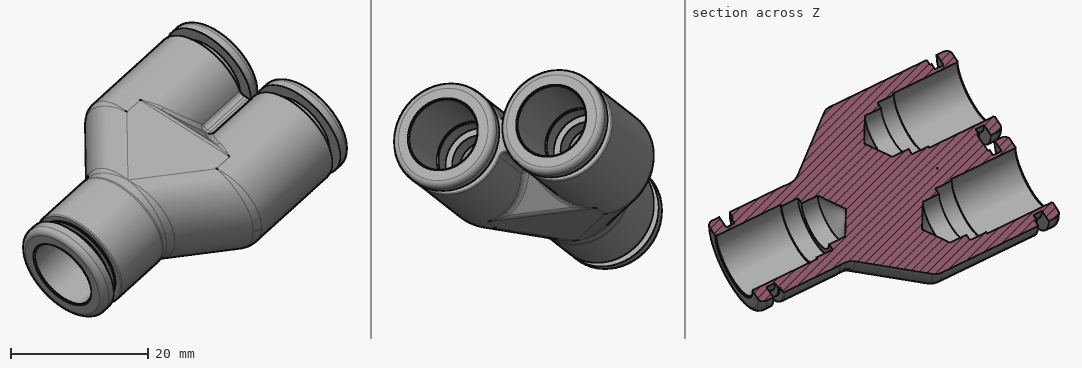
import cadquery as cq
import math

half_length = 22.8
branch_spacing = 17.0
branch_offset = branch_spacing / 2

body_radius = 15.9 / 2
body_end = 19.0
bend_y = 2.0
fork_y = -7.95
bend_fillet = 2.0
rim_fillet = 0.2

stem_radius = 16.0 / 2
shoulder_start = -9.45
shoulder_end = -9.7

web_half_thickness = 2.5
slope_top_y = 5.45
slope_foot_y = 10.05
web_fillet = 1.0

collar_radius = 16.0 / 2
collar_length = 2.15
collar_fillet = 0.95
neck_radius = 5.97
ring_radius = 6.98
ring_height = 0.27

mouth_chamfer = 0.2
mouth_radius = 5.35
mouth_depth = 10.95
socket_radius = 5.05
socket_depth = 13.7
passage_radius = 4.0
passage_depth = 16.4
drill_tip_angle = 118.0

tolerance = 0.005


def bar(x, y_start, y_end, radius):
    """Round bar along Y from y_start to y_end."""
    length = y_end - y_start
    return cq.Workplane("XZ", origin=(x, y_start, 0)).circle(radius).extrude(-length)


def slanted_arm():
    """Half-round arm leading from the stem axis to the +X branch axis."""
    outer_half = (
        cq.Workplane("XZ", origin=(0, fork_y, 0))
        .moveTo(0, -body_radius)
        .threePointArc((body_radius, 0), (0, body_radius))
        .close()
    )
    slant = cq.Vector(branch_offset, bend_y - fork_y, 0)
    return cq.Workplane(cq.Solid.extrudeLinear(outer_half.val(), [], slant))


def build_crotch():
    """Flat triangular plate that joins the two slanted arms."""
    return (
        cq.Workplane("XY", origin=(0, 0, -body_radius))
        .polyline([(0, fork_y), (branch_offset, bend_y), (-branch_offset, bend_y)])
        .close()
        .extrude(2 * body_radius)
    )


def build_web():
    """Plate between the branches: full height at the crotch, sloping down to a thin web."""
    upper = [
        (bend_y, body_radius),
        (slope_top_y, body_radius),
        (slope_foot_y, web_half_thickness),
        (body_end, web_half_thickness),
    ]
    lower = [(y, -z) for y, z in reversed(upper)]
    block = (
        cq.Workplane("YZ", origin=(-branch_offset, 0, 0))
        .polyline(upper + lower)
        .close()
        .extrude(2 * branch_offset)
    )
    slope_edges = [
        edge
        for edge in block.edges("|X").vals()
        if bend_y + tolerance < edge.Center().y < body_end - tolerance
    ]
    return block.newObject(slope_edges).fillet(web_fillet)


def lies_at_y(edge, y):
    box = edge.BoundingBox()
    return abs(box.ymin - y) < tolerance and abs(box.ymax - y) < tolerance


def build_half_body():
    """The +X half of the Y: half the stem, a slanted arm and a branch, with rounded bends."""
    half_space = (
        cq.Workplane("XY")
        .box(2 * half_length, 2 * half_length, 2 * half_length)
        .translate((half_length, 0, 0))
    )
    half_stem = bar(0, -body_end, fork_y, body_radius).intersect(half_space)
    branch = bar(branch_offset, bend_y, body_end, body_radius)
    half_body = half_stem.union(slanted_arm()).union(branch)
    for y in (bend_y, fork_y):
        arcs = [edge for edge in half_body.edges("%CIRCLE").vals() if lies_at_y(edge, y)]
        outer_arc = max(arcs, key=lambda arc: arc.Center().x)
        half_body = half_body.newObject([outer_arc]).fillet(bend_fillet)
    return half_body


def is_web_corner(edge):
    """True for the edges where the web and its slope run into a branch."""
    center = edge.Center()
    beside_web = abs(center.x) > tolerance and edge.BoundingBox().xlen < branch_offset
    along_web = center.y > bend_y + bend_fillet and not lies_at_y(edge, center.y)
    return beside_web and along_web and abs(center.x) < branch_offset - tolerance


def build_body():
    half_body = build_half_body()
    body = half_body.union(half_body.mirror("YZ")).union(build_crotch()).union(build_web()).clean()
    web_corners = [edge for edge in body.edges().vals() if is_web_corner(edge)]
    body = body.newObject(web_corners).fillet(web_fillet)
    return body.faces("<Y or >Y").edges().fillet(rim_fillet)


def build_stem_sleeve():
    """Thicker sleeve around the stem, tapering into the body."""
    return (
        cq.Workplane("XY")
        .polyline([
            (0, -body_end),
            (stem_radius, -body_end),
            (stem_radius, shoulder_end),
            (body_radius, shoulder_start),
            (0, shoulder_start),
        ])
        .close()
        .revolve(360, (0, 0, 0), (0, 1, 0))
        .faces("<Y")
        .edges()
        .fillet(rim_fillet)
    )


def place_at_port(shape, x, direction):
    """Move a shape modelled on a +Y port to the port at x facing the given Y direction."""
    if direction < 0:
        shape = shape.rotate((0, 0, 0), (0, 0, 1), 180)
    return shape.translate((x, 0, 0))


def build_collar():
    """Retaining ring and flanged release collar of one port."""
    ring = bar(0, body_end - ring_height, body_end + ring_height, ring_radius)
    neck = bar(0, body_end - ring_height, half_length, neck_radius)
    flange = bar(0, half_length - collar_length, half_length, collar_radius)
    flange = flange.faces(">Y").edges().fillet(collar_fillet)
    return ring.union(neck).union(flange)


def build_bore():
    """Mouth chamfer, collar bore, tube socket and drilled passage with a conical tip."""
    tip_length = passage_radius / math.tan(math.radians(drill_tip_angle / 2))
    steps = [
        (0, half_length),
        (mouth_radius + mouth_chamfer, half_length),
        (mouth_radius, half_length - mouth_chamfer),
        (mouth_radius, half_length - mouth_depth),
        (socket_radius, half_length - mouth_depth),
        (socket_radius, half_length - socket_depth),
        (passage_radius, half_length - socket_depth),
        (passage_radius, half_length - passage_depth),
        (0, half_length - passage_depth - tip_length),
    ]
    return cq.Workplane("XY").polyline(steps).close().revolve(360, (0, 0, 0), (0, 1, 0))


ports = [(0, -1), (-branch_offset, 1), (branch_offset, 1)]

result = build_body().union(build_stem_sleeve())
for x, direction in ports:
    result = result.union(place_at_port(build_collar(), x, direction))
for x, direction in ports:
    result = result.cut(place_at_port(build_bore(), x, direction))